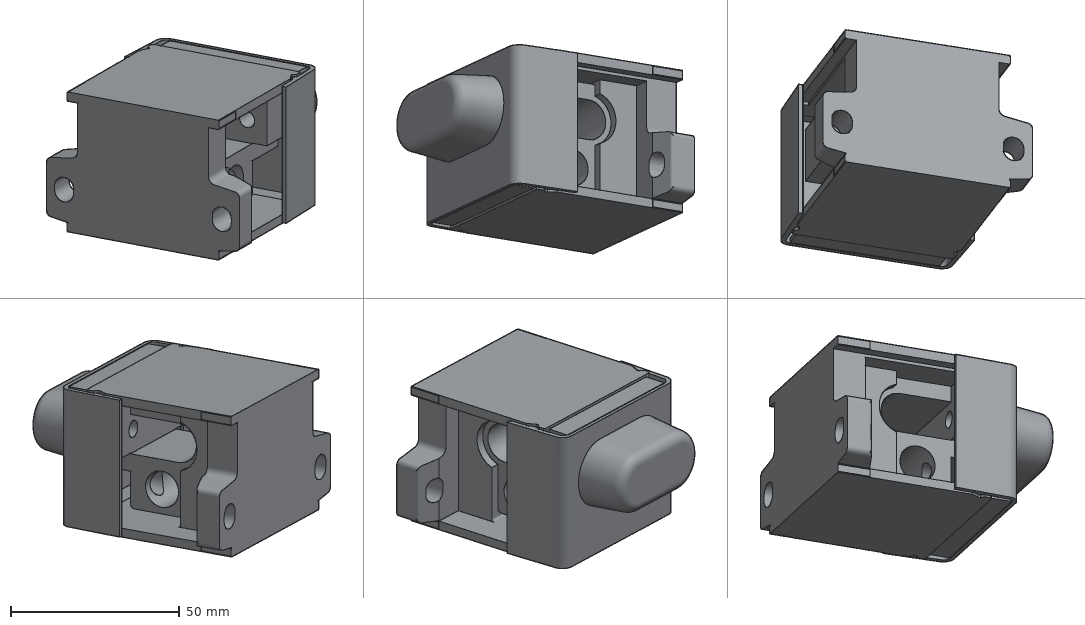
import cadquery as cq
import math


LENGTH = 73.5
HEIGHT = 44.0
EAR_TIP_X = 33.0

PLATE_X = 25.8
PLATE_NOSE_X = 25.5
PLATE_END_Y = 50.0
PLATE_CORNER = 0.5
FLOOR_TOP = 2.8
ROOF_BOTTOM = 41.1
PAD_X = 26.0
PAD_INSET = 0.2
LIP_BOTTOM = 40.05
FRONT_DEPTH = 10.3
FRONT_NECK_X = 22.4
CORE_X = 16.4
CORE_END_Y = 22.9
SLIDER_SEAT_RADIUS = 8.0
CORE_ROOT_RADIUS = 0.7

EAR_MID_Z = 13.1
EAR_TIP_HALF_HEIGHT = 9.1
EAR_SLOPE = math.tan(math.radians(8.3))
EAR_BACK_SLOPE = math.tan(math.radians(18.8))
EAR_CORNER_RADIUS = 1.8
EAR_ROOT_RADIUS = 2.2
EAR_BACK_RADIUS = 1.0
BOLT_X = 27.0
BOLT_WIDTH = 6.5
BOLT_HEIGHT = 7.7

SNAP_TOP_Y = 47.6
SNAP_TIP_TOP_Y = 46.7
SNAP_TIP_BOTTOM_Y = 45.9
SNAP_BOTTOM_Y = 43.3
GROOVE_TIP_X = 24.4
BEAD_TIP_X = 25.0

CLIP_BACK_Y = 58.4
CLIP_WEB = 1.3
CLIP_LEG = 1.55
CLIP_END_Y = 37.35
CLIP_TOP_X = 26.8
CLIP_BOTTOM_X = 27.6
CLIP_INSET_Z = 0.6
CLIP_RADIUS = 3.45
CLIP_END_CHAMFER = 0.3
CLIP_INNER_Y = CLIP_BACK_Y - CLIP_WEB

LEDGE_X = 23.5
LEDGE_INSET_Z = 0.8
LEDGE_THICKNESS = 1.3
LEDGE_OVERLAP = 0.7

SLIDER_X = 13.5
SLIDER_BOTTOM = 4.85
SLIDER_TOP = 39.25
SLIDER_END_Y = 41.8
SLIDER_CORNER_RADIUS = 1.5
SLOT_CENTER_Y = 25.35
SLOT_CENTER_Z = 28.1
SLOT_RADIUS = 6.2
ROUND_HOLE_Y = 30.95
ROUND_HOLE_Z = 12.6
ROUND_HOLE_RADIUS = 5.65
CARRIAGE_X = 18.6
CARRIAGE_BOTTOM = 22.05
NECK_BOTTOM = 16.5

LOWER_PASSAGE_X = 7.2
LOWER_PASSAGE_Z = 12.05
LOWER_PASSAGE_RADIUS = 3.7
UPPER_PASSAGE_X = 11.75
UPPER_PASSAGE_Z = 29.2
UPPER_PASSAGE_RADIUS = 2.6

KNOB_MID_Z = 26.75
KNOB_BASE_RADIUS = 10.65
KNOB_ROUND_X = 9.55
KNOB_DRAFT = 6.0
KNOB_EDGE_RADIUS = 3.2


def box(half_x, y_range, z_range):
    """Block centred on X = 0."""
    y0, y1 = y_range
    z0, z1 = z_range
    return cq.Workplane("XY").box(2 * half_x, y1 - y0, z1 - z0).translate((0, (y0 + y1) / 2, (z0 + z1) / 2))


def mirrored(half_points):
    """Add the mirror image about X = 0 to an outline given for X > 0."""
    return half_points + [(-x, y) for x, y in reversed(half_points)]


def prism_z(points, z_range):
    z0, z1 = z_range
    return cq.Workplane("XY").workplane(offset=z0).polyline(points).close().extrude(z1 - z0)


def cylinder_x(radius, y, z, half_x):
    return cq.Workplane("YZ").center(y, z).circle(radius).extrude(half_x, both=True)


def cylinder_pair_y(radius, x, z, y_range):
    y0, y1 = y_range
    front = cq.Workplane("XZ", origin=(0, y0, 0))
    return front.pushPoints([(-x, z), (x, z)]).circle(radius).extrude(y0 - y1)


def snap_profile(tip_x, root_x):
    return [
        (root_x, SNAP_TOP_Y),
        (tip_x, SNAP_TIP_TOP_Y),
        (tip_x, SNAP_TIP_BOTTOM_Y),
        (root_x, SNAP_BOTTOM_Y),
    ]


def make_plates():
    outline = mirrored([
        (PLATE_X, 0),
        (PLATE_X, SNAP_BOTTOM_Y),
        *reversed(snap_profile(GROOVE_TIP_X, PLATE_NOSE_X)[:3]),
        (PLATE_NOSE_X, PLATE_END_Y - PLATE_CORNER),
        (PLATE_NOSE_X - PLATE_CORNER, PLATE_END_Y),
    ])
    plates = prism_z(outline, (0, FLOOR_TOP)).union(prism_z(outline, (ROOF_BOTTOM, HEIGHT)))
    narrow_lip = box(FRONT_NECK_X, (FRONT_DEPTH, PLATE_END_Y), (LIP_BOTTOM, ROOF_BOTTOM))
    wide_lip = prism_z(outline, (LIP_BOTTOM, ROOF_BOTTOM)).intersect(
        box(PLATE_X, (SNAP_BOTTOM_Y, PLATE_END_Y), (LIP_BOTTOM, ROOF_BOTTOM))
    )
    plates = plates.union(narrow_lip).union(wide_lip)
    for z_range in (
        (PAD_INSET, FLOOR_TOP - PAD_INSET),
        (ROOF_BOTTOM + PAD_INSET, HEIGHT - PAD_INSET),
    ):
        plates = plates.union(box(PAD_X, (0, FRONT_DEPTH), z_range))
    for z_low in (LEDGE_INSET_Z, HEIGHT - LEDGE_INSET_Z - LEDGE_THICKNESS):
        z_range = (z_low, z_low + LEDGE_THICKNESS)
        plates = plates.union(box(LEDGE_X, (PLATE_END_Y - LEDGE_OVERLAP, CLIP_INNER_Y), z_range))
    return plates


def make_front_block():
    """Front block whose lower part carries the two mounting ears."""
    def ear_offset(x):
        return EAR_TIP_HALF_HEIGHT + (EAR_TIP_X - x) * EAR_SLOPE

    outline = mirrored([
        (PLATE_X, 0),
        (PLATE_X, EAR_MID_Z - ear_offset(PLATE_X)),
        (EAR_TIP_X, EAR_MID_Z - EAR_TIP_HALF_HEIGHT),
        (EAR_TIP_X, EAR_MID_Z + EAR_TIP_HALF_HEIGHT),
        (FRONT_NECK_X, EAR_MID_Z + ear_offset(FRONT_NECK_X)),
        (FRONT_NECK_X, HEIGHT),
    ])
    block = cq.Workplane("XZ").polyline(outline).close().extrude(-FRONT_DEPTH)
    for side in (-1, 1):
        root = cq.selectors.NearestToPointSelector(
            (side * FRONT_NECK_X, FRONT_DEPTH / 2, EAR_MID_Z + ear_offset(FRONT_NECK_X))
        )
        block = block.edges(root).fillet(EAR_ROOT_RADIUS)
    block = block.faces("<X or >X").edges("|Y").fillet(EAR_CORNER_RADIUS)

    ear_tip_y = FRONT_DEPTH - (EAR_TIP_X - PLATE_X) * EAR_BACK_SLOPE
    footprint = prism_z(
        mirrored([
            (EAR_TIP_X, 0),
            (EAR_TIP_X, ear_tip_y),
            (PLATE_X, FRONT_DEPTH),
        ]),
        (0, HEIGHT),
    )
    for side in (-1, 1):
        tip = cq.selectors.NearestToPointSelector((side * EAR_TIP_X, ear_tip_y, HEIGHT / 2))
        footprint = footprint.edges(tip).fillet(EAR_BACK_RADIUS)
    bolt_slots = (
        cq.Workplane("XZ")
        .pushPoints([(-BOLT_X, EAR_MID_Z), (BOLT_X, EAR_MID_Z)])
        .slot2D(BOLT_HEIGHT, BOLT_WIDTH, 90)
        .extrude(-FRONT_DEPTH)
    )
    return block.intersect(footprint).cut(bolt_slots)


def make_core():
    core = box(CORE_X, (0, CORE_END_Y), (FLOOR_TOP, LIP_BOTTOM))
    return core.cut(cylinder_x(SLIDER_SEAT_RADIUS, SLOT_CENTER_Y, SLOT_CENTER_Z, CORE_X))


def make_slider():
    plate = box(SLIDER_X, (CORE_END_Y, SLIDER_END_Y), (SLIDER_BOTTOM, SLIDER_TOP))
    plate = plate.edges("|X and <Z").fillet(SLIDER_CORNER_RADIUS)
    plate = plate.union(cylinder_x(SLIDER_SEAT_RADIUS, SLOT_CENTER_Y, SLOT_CENTER_Z, SLIDER_X))
    slot = cylinder_x(SLOT_RADIUS, SLOT_CENTER_Y, SLOT_CENTER_Z, SLIDER_X).union(
        box(
            SLIDER_X,
            (SLOT_CENTER_Y, SLIDER_END_Y),
            (SLOT_CENTER_Z - SLOT_RADIUS, SLOT_CENTER_Z + SLOT_RADIUS),
        )
    )
    round_hole = cylinder_x(ROUND_HOLE_RADIUS, ROUND_HOLE_Y, ROUND_HOLE_Z, SLIDER_X)
    carriage_y = (SLIDER_END_Y, CLIP_INNER_Y)
    carriage = box(CARRIAGE_X, carriage_y, (CARRIAGE_BOTTOM, SLIDER_TOP))
    neck = box(SLIDER_X, carriage_y, (NECK_BOTTOM, CARRIAGE_BOTTOM))
    lower_passages = cylinder_pair_y(
        LOWER_PASSAGE_RADIUS, LOWER_PASSAGE_X, LOWER_PASSAGE_Z, (ROUND_HOLE_Y, SLIDER_END_Y)
    )
    upper_passages = cylinder_pair_y(UPPER_PASSAGE_RADIUS, UPPER_PASSAGE_X, UPPER_PASSAGE_Z, carriage_y)
    plate = plate.cut(slot).cut(round_hole).cut(lower_passages)
    return plate.union(carriage.cut(upper_passages)).union(neck)


def make_clip():
    z_range = (CLIP_INSET_Z, HEIGHT - CLIP_INSET_Z)
    outer = prism_z(mirrored([(CLIP_BOTTOM_X, CLIP_END_Y), (CLIP_TOP_X, CLIP_BACK_Y)]), z_range)
    outer = outer.edges("|Z and >Y").fillet(CLIP_RADIUS)
    inner_bottom_x = CLIP_BOTTOM_X - CLIP_LEG
    inner = prism_z(
        mirrored([(inner_bottom_x, CLIP_END_Y), (CLIP_TOP_X - CLIP_LEG, CLIP_INNER_Y)]), z_range
    )
    inner = inner.edges("|Z and >Y").fillet(CLIP_RADIUS - CLIP_WEB)
    mouth = prism_z(
        mirrored([
            (inner_bottom_x + CLIP_END_CHAMFER, CLIP_END_Y),
            (inner_bottom_x, CLIP_END_Y + CLIP_END_CHAMFER),
        ]),
        z_range,
    )
    clip = outer.cut(inner).cut(mouth)
    bead = prism_z(snap_profile(BEAD_TIP_X, inner_bottom_x), z_range)
    return clip.union(bead).union(bead.mirror("YZ"))


def make_knob():
    base = cq.Plane(origin=(0, CLIP_INNER_Y, KNOB_MID_Z), xDir=(1, 0, 0), normal=(0, 1, 0))
    base_radius = KNOB_BASE_RADIUS + CLIP_WEB * math.tan(math.radians(KNOB_DRAFT))
    knob = (
        cq.Workplane(base)
        .slot2D(2 * (KNOB_ROUND_X + base_radius), 2 * base_radius)
        .extrude(LENGTH - CLIP_INNER_Y, taper=KNOB_DRAFT)
    )
    return knob.faces(">Y").edges().fillet(KNOB_EDGE_RADIUS)


def make_housing():
    housing = make_plates().union(make_front_block()).union(make_core())
    core_root = cq.selectors.NearestToPointSelector((0, CORE_END_Y, FLOOR_TOP))
    return housing.edges(core_root).fillet(CORE_ROOT_RADIUS)


result = (
    make_housing()
    .union(make_slider())
    .union(make_clip())
    .union(make_knob())
)